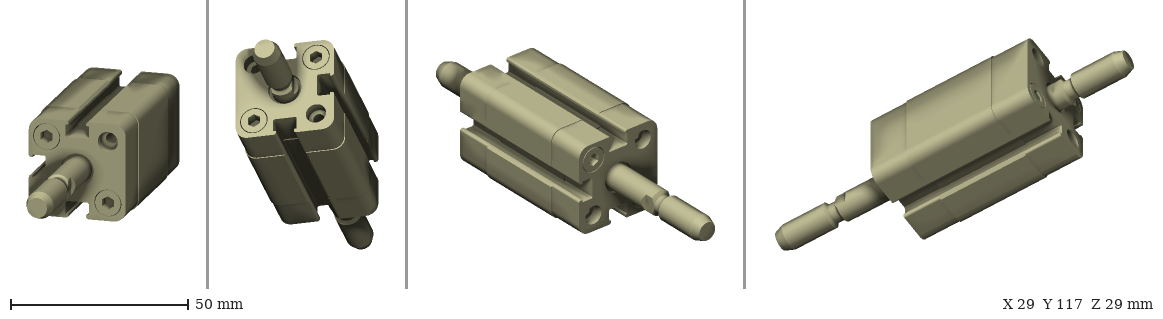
import cadquery as cq
import math


rod_length = 117.0
rod_dia = 8.0
rod_tip_dia = 5.8
rod_tip_taper = 2.9
neck_dia = 6.0
neck_bevel_length = 0.8
neck_near_end = 17.7
neck_far_end = 20.0
flat_spacing = 6.0
flat_end = 23.4

body_back = 33.9
body_length = 52.9
cap_length = 12.2
tube_width = 29.0
cap_inset = 0.2
corner_radius = 3.5

slot_width = 6.8
lip_gap = 5.3
lip_edge_break = 0.7
lip_underside = 13.1
slot_floor = 9.7
cap_floor_step = 0.4
slot_floor_bevel = 0.4
slot_angles = (0, 90, 180)

bolt_offset = 9.0
through_hole_dia = 3.3
counterbore_dia = 5.8
counterbore_depth = 3.5
screw_head_dia = 7.5
screw_pocket_dia = 8.0
screw_pocket_depth = 4.0
hex_across_flats = 3.5
hex_depth = 3.5
rod_clearance_dia = 9.6
rod_clearance_depth = 1.2

cut_overrun = 1.2

rod_radius = rod_dia / 2
half_rod = rod_length / 2
body_front = body_back - body_length
tube_half = tube_width / 2
cap_half = tube_half - cap_inset
hole_points = [(bolt_offset, bolt_offset), (-bolt_offset, -bolt_offset)]
screw_points = [(-bolt_offset, bolt_offset), (bolt_offset, -bolt_offset)]


def cross_section(y):
    """Work plane facing -Y at the given Y: local x is X, local y is Z."""
    return cq.Workplane("XZ", origin=(0, y, 0))


def slot_cutter(back_y, length, side_half, floor, rounded):
    """T-slot in the top side; its mouth edges are rounded or chamfered."""
    half_gap = lip_gap / 2
    half_mouth = half_gap + lip_edge_break
    half_slot = slot_width / 2
    half_floor = half_slot - slot_floor_bevel
    wall_foot = floor + slot_floor_bevel
    edge_foot = side_half - lip_edge_break
    sag = lip_edge_break * (1 - math.sqrt(0.5))
    outside = side_half + cut_overrun

    outline = cross_section(back_y).moveTo(half_mouth, outside).lineTo(half_mouth, side_half)
    if rounded:
        outline = outline.threePointArc((half_gap + sag, side_half - sag), (half_gap, edge_foot))
    else:
        outline = outline.lineTo(half_gap, edge_foot)
    outline = (
        outline.lineTo(half_gap, lip_underside)
        .lineTo(half_slot, lip_underside)
        .lineTo(half_slot, wall_foot)
        .lineTo(half_floor, floor)
        .lineTo(-half_floor, floor)
        .lineTo(-half_slot, wall_foot)
        .lineTo(-half_slot, lip_underside)
        .lineTo(-half_gap, lip_underside)
        .lineTo(-half_gap, edge_foot)
    )
    if rounded:
        outline = outline.threePointArc((-half_gap - sag, side_half - sag), (-half_mouth, side_half))
    else:
        outline = outline.lineTo(-half_mouth, side_half)
    return outline.lineTo(-half_mouth, outside).close().extrude(length)


def slotted_block(back_y, length, side_half, floor, rounded):
    """Square block with rounded corners and T-slots on three sides."""
    block = cross_section(back_y).rect(2 * side_half, 2 * side_half).extrude(length)
    block = block.edges("|Y").fillet(corner_radius)
    cutter = slot_cutter(back_y, length, side_half, floor, rounded)
    for angle in slot_angles:
        block = block.cut(cutter.rotate((0, 0, 0), (0, -1, 0), angle))
    return block


def front_face_pockets():
    """Everything sunk into the front face, as one cutting body."""
    face = cross_section(body_front)
    hex_corner_dia = hex_across_flats / math.cos(math.pi / 6)

    counterbores = face.pushPoints(hole_points).circle(counterbore_dia / 2).extrude(-counterbore_depth)
    head_gaps = (
        face.pushPoints(screw_points)
        .circle(screw_pocket_dia / 2)
        .circle(screw_head_dia / 2)
        .extrude(-screw_pocket_depth)
    )
    upright_hex = cq.Sketch().regularPolygon(hex_corner_dia / 2, 6)
    hex_sockets = face.pushPoints(screw_points).placeSketch(upright_hex).extrude(-hex_depth)
    rod_clearance = face.circle(rod_clearance_dia / 2).extrude(-rod_clearance_depth)
    return counterbores.union(head_gaps).union(hex_sockets).union(rod_clearance)


def make_body():
    tube_back = body_back - cap_length
    tube_length = body_length - 2 * cap_length
    cap_floor = slot_floor - cap_floor_step

    body = slotted_block(tube_back, tube_length, tube_half, slot_floor, rounded=False)
    for cap_back in (body_back, body_front + cap_length):
        body = body.union(slotted_block(cap_back, cap_length, cap_half, cap_floor, rounded=True))

    through_holes = (
        cross_section(body_back)
        .pushPoints(hole_points)
        .circle(through_hole_dia / 2)
        .extrude(body_length)
    )
    pockets = front_face_pockets()
    body_middle = (0, (body_front + body_back) / 2, 0)
    return body.cut(through_holes).cut(pockets).cut(pockets.mirror("XZ", body_middle))


def flat_cutter():
    """Material removed for one wrench flat: +X side, front end of the rod."""
    half_flat = flat_spacing / 2
    ramp = rod_radius - half_flat
    inner_y = -half_rod + flat_end
    outer_y = -half_rod + neck_near_end
    return (
        cq.Workplane("XY", origin=(0, 0, -rod_radius))
        .moveTo(half_flat, outer_y)
        .lineTo(half_flat, inner_y)
        .lineTo(half_flat + ramp + cut_overrun, inner_y + ramp + cut_overrun)
        .lineTo(half_flat + ramp + cut_overrun, outer_y)
        .close()
        .extrude(rod_dia)
    )


def make_rod():
    neck_radius = neck_dia / 2
    front_tip = -half_rod

    front_half = (
        cq.Workplane("XY")
        .moveTo(0, 0)
        .lineTo(rod_radius, 0)
        .lineTo(rod_radius, front_tip + neck_far_end + neck_bevel_length)
        .lineTo(neck_radius, front_tip + neck_far_end)
        .lineTo(neck_radius, front_tip + neck_near_end)
        .lineTo(rod_radius, front_tip + neck_near_end - neck_bevel_length)
        .lineTo(rod_radius, front_tip + rod_tip_taper)
        .lineTo(rod_tip_dia / 2, front_tip)
        .lineTo(0, front_tip)
        .close()
        .revolve(360, (0, 0, 0), (0, 1, 0))
    )
    flat = flat_cutter()
    front_half = front_half.cut(flat).cut(flat.mirror("YZ"))
    return front_half.union(front_half.mirror("XZ"))


result = make_body().union(make_rod()).clean()